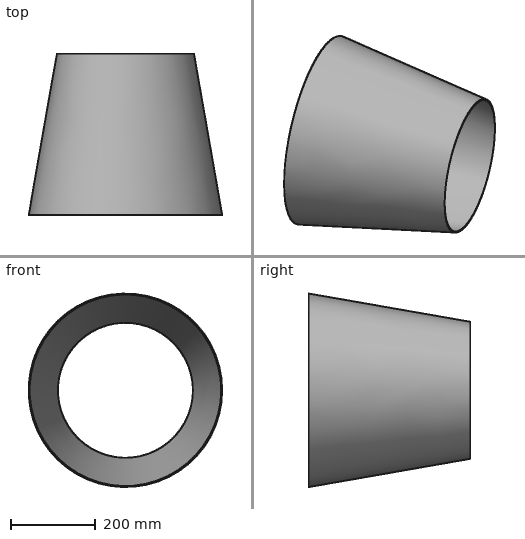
import cadquery as cq

large_diameter = 457.2
small_diameter = 323.9
length = 381.0
wall = 3.0

large_radius = large_diameter / 2
small_radius = small_diameter / 2

wall_section = [
    (large_radius - wall, 0),
    (large_radius, 0),
    (small_radius, length),
    (small_radius - wall, length),
]

result = (
    cq.Workplane("XY")
    .polyline(wall_section)
    .close()
    .revolve(360, (0, 0, 0), (0, 1, 0))
)